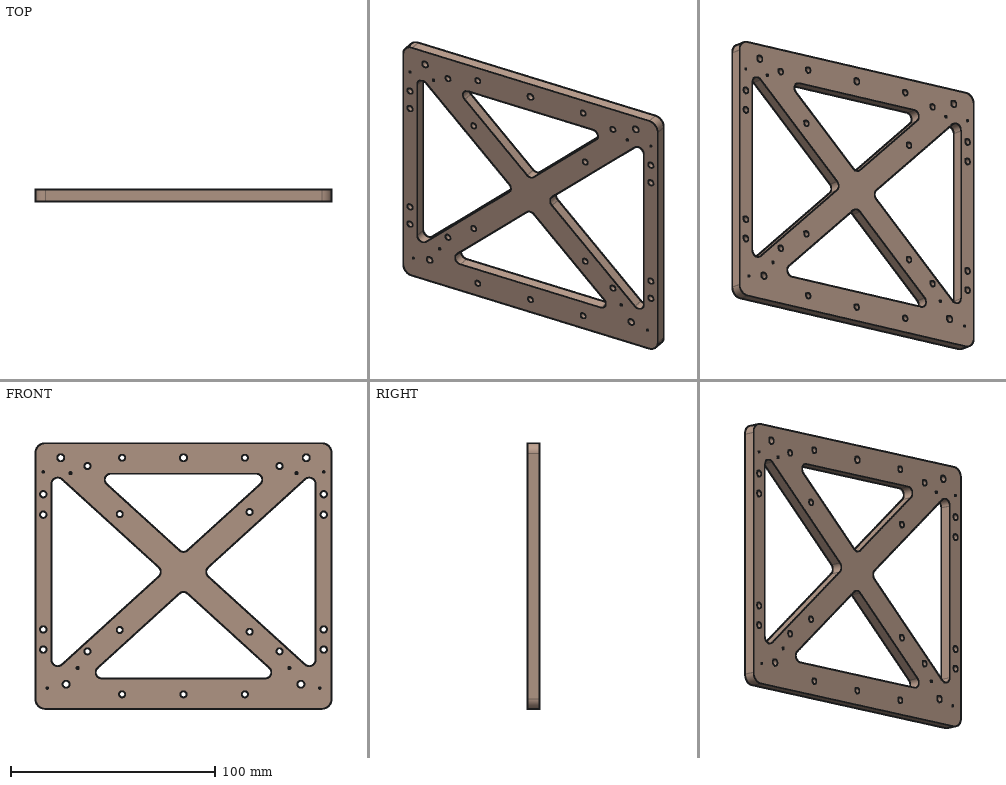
import cadquery as cq
import math

WIDTH = 145.0
HEIGHT = 130.0
THICKNESS = 6.0
CORNER_RADIUS = 5.0

SIDE_EDGE_X = 64.5
END_EDGE_Z = 50.0
END_WINDOW_RADIUS = 2.9
SIDE_WINDOW_RADIUS = 3.0

CROSS_Z = 2.0
BRACE_WIDTH = 13.0
BRACE_SLOPE = 0.91

PIN_DIAMETER = 0.7
PILOT_DIAMETER = 1.0
SCREW_DIAMETER = 2.9
SIDE_DIAMETER = 3.0
MOUNT_DIAMETER = 3.3

END_ROW_Z = 57.9
END_ROW_X = 30.0
SIDE_ROW_X = 68.6
DIAGONAL_ROW_X = 47.0


def mirrored(x, *heights):
    """Points at both +x and -x for each height."""
    return [(side * x, z) for z in heights for side in (-1, 1)]


def prism(points, radius):
    """Triangular window cutter with rounded corners."""
    blank = cq.Workplane("XZ").polyline(points).close().extrude(THICKNESS / 2, both=True)
    return blank.edges("|Y").fillet(radius)


def end_window(direction):
    """Window above (+1) or below (-1) the crossing."""
    brace_angle = math.atan(BRACE_SLOPE)
    apex_z = CROSS_Z + direction * BRACE_WIDTH / 2 / math.cos(brace_angle)
    edge_z = direction * END_EDGE_Z
    half_base = abs(edge_z - apex_z) / BRACE_SLOPE
    corners = [(0, apex_z), (-half_base, edge_z), (half_base, edge_z)]
    return prism(corners, END_WINDOW_RADIUS)


def side_window(direction):
    """Window right (+1) or left (-1) of the crossing."""
    brace_angle = math.atan(BRACE_SLOPE)
    apex_x = BRACE_WIDTH / 2 / math.sin(brace_angle)
    half_base = (SIDE_EDGE_X - apex_x) * BRACE_SLOPE
    edge_x = direction * SIDE_EDGE_X
    apex = (direction * apex_x, CROSS_Z)
    corners = [apex, (edge_x, CROSS_Z - half_base), (edge_x, CROSS_Z + half_base)]
    return prism(corners, SIDE_WINDOW_RADIUS)


def drill(body, diameter, points):
    """Cut through holes along Y."""
    holes = cq.Workplane("XZ").pushPoints(points).circle(diameter / 2)
    return body.cut(holes.extrude(THICKNESS, both=True))


plate = cq.Workplane("XY").box(WIDTH, THICKNESS, HEIGHT).edges("|Y").fillet(CORNER_RADIUS)

for direction in (-1, 1):
    plate = plate.cut(end_window(direction))
    plate = plate.cut(side_window(direction))

mount_points = mirrored(60.0, END_ROW_Z) + mirrored(57.4, -52.9) + [(0, END_ROW_Z)]
plate = drill(plate, MOUNT_DIAMETER, mount_points)

screw_points = mirrored(END_ROW_X, END_ROW_Z, -END_ROW_Z) + [(0, -END_ROW_Z)]
screw_points += mirrored(DIAGONAL_ROW_X, 53.8, -36.8)
screw_points += [(-31.2, 30.3), (32.3, 31.3), (-31.2, -26.4), (32.3, -27.3)]
plate = drill(plate, SCREW_DIAMETER, screw_points)

plate = drill(plate, SIDE_DIAMETER, mirrored(SIDE_ROW_X, 40.0, 30.0, -26.1, -36.0))

plate = drill(plate, PILOT_DIAMETER, mirrored(55.2, 50.3) + mirrored(51.8, -45.0))
plate = drill(plate, PIN_DIAMETER, mirrored(SIDE_ROW_X, 50.9) + mirrored(66.7, -54.8))

result = plate